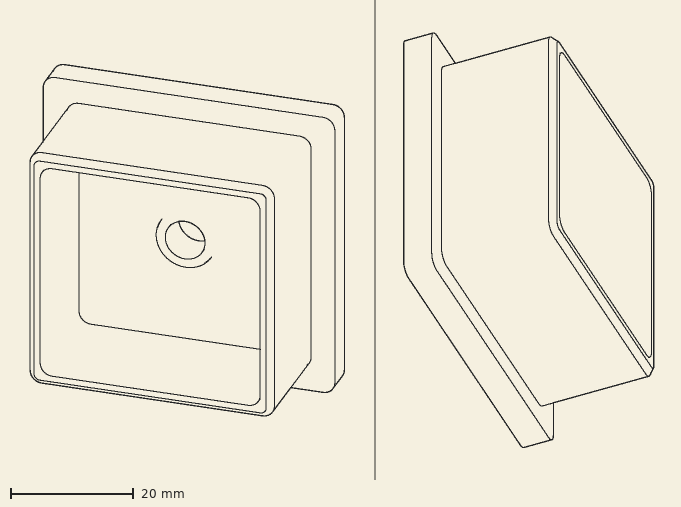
import cadquery as cq

flange_side = 50.0
flange_thickness = 5.0
corner_radius = 2.05

plug_side = 41.9
plug_length = 20.0
rim_chamfer = 1.05

cavity_side = 37.7
floor_thickness = 5.0

boss_height = 2.0
boss_radius = 5.1
boss_rim_fillet = 0.5
boss_base_fillet = 1.0
hole_radius = 3.4

total_depth = flange_thickness + plug_length
back_y = total_depth / 2
flange_front_y = back_y - flange_thickness
floor_y = back_y - floor_thickness
cavity_depth = total_depth - floor_thickness


def rounded_square(side, start_y, length):
    """Square block with rounded corners, running from start_y toward the front (-Y)."""
    return (
        cq.Workplane("XZ", origin=(0, start_y, 0))
        .rect(side, side)
        .extrude(length)
        .edges("|Y")
        .fillet(corner_radius)
    )


def cylinder(radius, start_y, length):
    """Round post on the part's axis, running from start_y toward the front (-Y)."""
    return cq.Workplane("XZ", origin=(0, start_y, 0)).circle(radius).extrude(length)


def make_plug():
    """Plug block with its front outer rim chamfered."""
    plug = rounded_square(plug_side, flange_front_y, plug_length)
    return plug.faces("<Y").edges().chamfer(rim_chamfer)


def make_boss():
    """Round boss with a rounded rim and a concave fillet flaring out to the floor."""
    post = cylinder(boss_radius, floor_y, boss_height).faces("<Y").edges().fillet(boss_rim_fillet)
    flare_radius = boss_radius + boss_base_fillet
    flare = (
        cq.Workplane("XY")
        .moveTo(0, floor_y)
        .lineTo(flare_radius, floor_y)
        .radiusArc((boss_radius, floor_y - boss_base_fillet), -boss_base_fillet)
        .lineTo(0, floor_y - boss_base_fillet)
        .close()
        .revolve(360, (0, 0, 0), (0, 1, 0))
    )
    return post.union(flare)


flange = rounded_square(flange_side, back_y, flange_thickness)
cavity = rounded_square(cavity_side, floor_y, cavity_depth)
hole = cylinder(hole_radius, back_y, total_depth)

result = flange.union(make_plug()).cut(cavity).union(make_boss()).cut(hole)